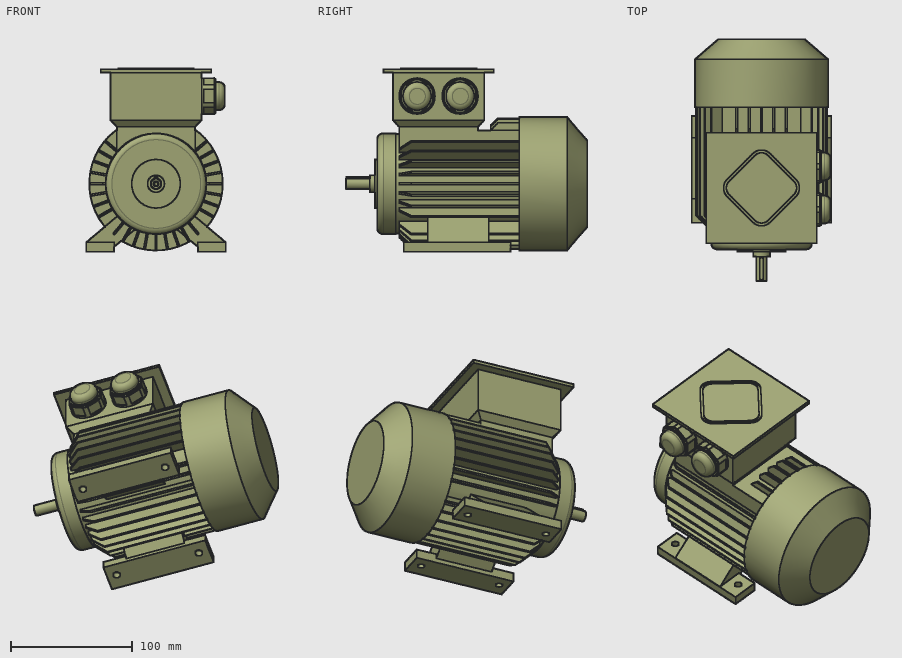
import cadquery as cq
import math


axis_height = 56.0
shaft_diameter = 9.0
shaft_length = 20.0
shaft_chamfer = 0.4
centre_hole_diameter = 3.24
centre_hole_depth = 6.0
countersink_diameter = 4.3
countersink_depth = 0.6
key_width = 3.0
key_length = 18.5
key_top = 5.6

collar_diameter = 14.0
boss_diameter = 40.0
shield_diameter = 83.0
shield_fillet = 5.0
core_diameter = 82.0
boss_front = 4.2
shield_front = 5.9
shield_back = 21.3
housing_front = 24.0

cowl_diameter = 110.0
cowl_end_diameter = 71.0
cowl_front = 123.0
cowl_taper_start = 162.2
cowl_back = 179.0

fin_thickness = 1.5
fin_tip_radius = 54.0
fin_pitch_angle = 10.0
fin_front_chamfer = 10.0
side_fin_first = -3
side_fin_last = 4
lower_fin_reach = 4
top_fin_pitch = 10.15
top_fin_reach = 2
top_fin_front = 99.3
top_fin_chamfer = 6.0

saddle_width = 64.5
saddle_top = 43.8
neck_length = 65.1
box_centre_y = housing_front + neck_length / 2
neck_top = 46.8
box_side = 75.2
box_bottom = 52.4
lid_side = 91.0
lid_thickness = 3.0
lid_bottom = 91.3
lid_top = lid_bottom + lid_thickness
frame_side = 50.0
frame_corner_radius = 10.0
frame_width = 2.3
frame_height = 0.7

gland_spacing = 35.4
gland_height = 72.1
gland_body_diameter = 29.5
gland_body_length = 10.2
gland_flat_start = 1.8
gland_flat_distance = 13.7
gland_nut_across_flats = 26.0
gland_nut_end = 11.7
gland_nut_chamfer = 1.5
gland_cap_diameter = 23.26
gland_cap_end = 19.1
gland_cap_fillet = 5.0
hexagon_sides = 6
hexagon_half_step = 180 / hexagon_sides

foot_outer_x = 57.5
foot_width = 23.0
foot_thickness = 8.0
foot_length = 88.0
foot_front = 27.8
foot_hole_diameter = 5.8
foot_hole_first_y = 36.0
foot_hole_spacing_y = 71.0
foot_hole_spacing_x = 90.0
web_front = 47.6
web_length = 50.4
web_angle = 40.0
web_inner_drop = 4.0

embed = 1.0


def revolve_about_y(points):
    """Solid of revolution about Y from (radius, y) points."""
    return cq.Workplane("XY").polyline(points).close().revolve(360, (0, 0), (0, 1))


def prism_along_y(points, front, length):
    """Prism from (x, z) points, running from Y = front to Y = front + length."""
    plane = cq.Workplane("XZ", origin=(0, front, 0))
    return plane.polyline(points).close().extrude(-length)


def box_between(width, length, bottom, top, centre_y):
    """Upright block centred on X = 0."""
    block = cq.Workplane("XY").box(width, length, top - bottom, centered=(True, True, False))
    return block.translate((0, centre_y, bottom))


def make_shaft():
    shaft = cq.Workplane("XZ").circle(shaft_diameter / 2).extrude(shaft_length)
    shaft = shaft.faces("<Y").chamfer(shaft_chamfer)
    key = (
        cq.Workplane("XY", origin=(0, -shaft_length / 2, 0))
        .slot2D(key_length, key_width, 90)
        .extrude(key_top)
    )
    return shaft.union(key)


def make_centre_hole():
    hole_radius = centre_hole_diameter / 2
    tip = -shaft_length
    hole_end = tip + centre_hole_depth
    return revolve_about_y([
        (0, tip),
        (countersink_diameter / 2, tip),
        (hole_radius, tip + countersink_depth),
        (hole_radius, hole_end),
        (0, hole_end + hole_radius),
    ])


def make_round_body():
    """Collar, boss, end shield and motor core back to the cowl."""
    shield_outline = cq.Workplane("XZ", origin=(0, shield_back, 0)).circle(shield_diameter / 2)
    shield = shield_outline.extrude(shield_back - shield_front)
    shield = shield.faces("<Y").edges().fillet(shield_fillet)
    spine = revolve_about_y([
        (0, 0),
        (collar_diameter / 2, 0),
        (collar_diameter / 2, boss_front),
        (boss_diameter / 2, boss_front),
        (boss_diameter / 2, shield_back - embed),
        (core_diameter / 2, shield_back - embed),
        (core_diameter / 2, cowl_front + embed),
        (0, cowl_front + embed),
    ])
    return spine.union(shield)


def make_cowl():
    return revolve_about_y([
        (0, cowl_front),
        (cowl_diameter / 2, cowl_front),
        (cowl_diameter / 2, cowl_taper_start),
        (cowl_end_diameter / 2, cowl_back),
        (0, cowl_back),
    ])


def make_fin(front, chamfer, tip_radius):
    """Fin standing out along +X, with its front outer corner cut at 45 degrees."""
    root_radius = core_diameter / 2 - embed
    back = cowl_front + embed
    outline = [
        (root_radius, front),
        (tip_radius - chamfer, front),
        (tip_radius, front + chamfer),
        (tip_radius, back),
        (root_radius, back),
    ]
    return cq.Workplane("XY").polyline(outline).close().extrude(fin_thickness / 2, both=True)


def add_fins(body):
    radial_fin = make_fin(housing_front, fin_front_chamfer, fin_tip_radius)
    directions = []
    for step in range(side_fin_first, side_fin_last + 1):
        angle = step * fin_pitch_angle
        directions += [angle, 180 - angle]
    for step in range(-lower_fin_reach, lower_fin_reach + 1):
        directions.append(270 + step * fin_pitch_angle)
    for direction in directions:
        body = body.union(radial_fin.rotate((0, 0, 0), (0, 1, 0), -direction))

    for step in range(-top_fin_reach, top_fin_reach + 1):
        x = step * top_fin_pitch
        tip = math.sqrt(fin_tip_radius**2 - x**2)
        top_fin = make_fin(top_fin_front, top_fin_chamfer, tip)
        body = body.union(top_fin.rotate((0, 0, 0), (0, 1, 0), -90).translate((x, 0, 0)))
    return body


def make_terminal_box():
    saddle_length = cowl_front + embed - housing_front
    saddle = box_between(saddle_width, saddle_length, 0, saddle_top, housing_front + saddle_length / 2)
    neck = box_between(saddle_width, neck_length, 0, neck_top, box_centre_y)
    funnel = (
        cq.Workplane("XY", origin=(0, box_centre_y, neck_top))
        .rect(saddle_width, neck_length)
        .workplane(offset=box_bottom - neck_top)
        .rect(box_side, box_side)
        .loft(ruled=True)
    )
    walls = box_between(box_side, box_side, box_bottom, lid_bottom, box_centre_y)
    lid = box_between(lid_side, lid_side, lid_bottom, lid_top, box_centre_y)
    return saddle.union(neck).union(funnel).union(walls).union(lid).union(make_lid_frame())


def make_rounded_square(side, corner_radius):
    square = cq.Workplane("XY").rect(side, side).extrude(frame_height)
    return square.edges("|Z").fillet(corner_radius)


def make_lid_frame():
    """Raised rounded square frame, standing on its corner on the lid."""
    outer = make_rounded_square(frame_side, frame_corner_radius)
    inner = make_rounded_square(frame_side - 2 * frame_width, frame_corner_radius - frame_width)
    frame = outer.cut(inner).rotate((0, 0, 0), (0, 0, 1), 45)
    return frame.translate((0, box_centre_y, lid_top))


def make_hexagon(across_flats, start, end):
    """Hexagonal prism along X with two flats facing -Y and +Y."""
    corner_diameter = across_flats / math.cos(math.pi / hexagon_sides)
    plane = cq.Workplane("YZ", origin=(start, 0, 0))
    prism = plane.polygon(hexagon_sides, corner_diameter).extrude(end - start)
    return prism.rotate((0, 0, 0), (1, 0, 0), hexagon_half_step)


def make_gland():
    """Cable gland along +X, starting at X = 0."""
    body = cq.Workplane("YZ", origin=(-embed, 0, 0)).circle(gland_body_diameter / 2)
    body = body.extrude(gland_flat_start + embed)
    grip = cq.Workplane("YZ").circle(gland_body_diameter / 2).extrude(gland_body_length)
    grip = grip.intersect(make_hexagon(2 * gland_flat_distance, 0, gland_body_length))

    nut_corner_radius = gland_nut_across_flats / 2 / math.cos(math.pi / hexagon_sides)
    nut_envelope = cq.Workplane("YZ").circle(nut_corner_radius).extrude(gland_nut_end)
    nut_envelope = nut_envelope.faces(">X").chamfer(gland_nut_chamfer)
    nut = make_hexagon(gland_nut_across_flats, gland_body_length, gland_nut_end).intersect(nut_envelope)

    cap = cq.Workplane("YZ").circle(gland_cap_diameter / 2).extrude(gland_cap_end)
    cap = cap.faces(">X").edges().fillet(gland_cap_fillet)
    return body.union(grip).union(nut).union(cap)


def make_foot():
    """Foot pad and sloping web on the +X side."""
    foot_inner_x = foot_outer_x - foot_width
    pad_top = foot_thickness - axis_height
    pad = prism_along_y(
        [
            (foot_inner_x, -axis_height),
            (foot_outer_x, -axis_height),
            (foot_outer_x, pad_top),
            (foot_inner_x, pad_top),
        ],
        foot_front,
        foot_length,
    )
    slope = math.tan(math.radians(web_angle))
    web_inner_z = pad_top - web_inner_drop
    web = prism_along_y(
        [
            (0, 0),
            (foot_outer_x, -foot_outer_x * slope),
            (foot_outer_x, pad_top - embed),
            (foot_inner_x, web_inner_z),
            (0, web_inner_z + foot_inner_x * slope),
        ],
        web_front,
        web_length,
    )
    hole_centres = [
        (foot_hole_spacing_x / 2, foot_hole_first_y),
        (foot_hole_spacing_x / 2, foot_hole_first_y + foot_hole_spacing_y),
    ]
    holes = (
        cq.Workplane("XY", origin=(0, 0, -axis_height))
        .pushPoints(hole_centres)
        .circle(foot_hole_diameter / 2)
        .extrude(foot_thickness)
    )
    return pad.union(web).cut(holes)


motor = add_fins(make_round_body())
motor = motor.union(make_cowl()).union(make_shaft()).union(make_terminal_box())

gland = make_gland()
for side in (-1, 1):
    gland_y = box_centre_y + side * gland_spacing / 2
    motor = motor.union(gland.translate((box_side / 2, gland_y, gland_height)))

foot = make_foot()
motor = motor.union(foot).union(foot.mirror("YZ"))

result = motor.cut(make_centre_hole())